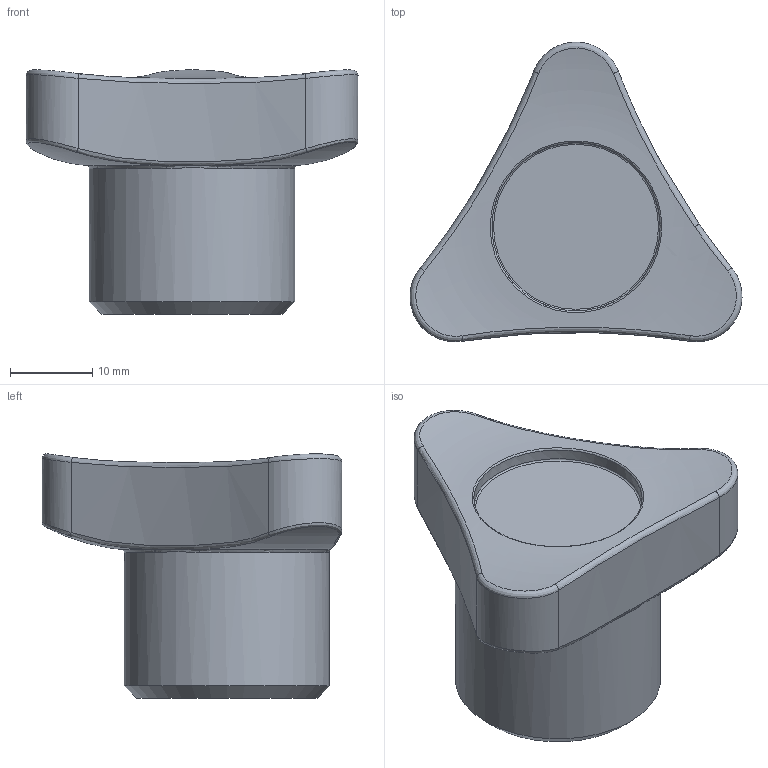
import cadquery as cq
import math


LOBE_COUNT = 3
FIRST_LOBE_ANGLE = 90.0
LOBE_DISTANCE = 17.0
LOBE_RADIUS = 5.5
FLANK_RADIUS = 90.0

TOP_LOW_HEIGHT = 28.7
TOP_LOW_RADIUS = 11.0
TOP_ARC_RADIUS = 56.0
TOP_EDGE_FILLET = 0.6

UNDERSIDE_HEIGHT = 18.0
UNDERSIDE_FLAT_RADIUS = 10.5
UNDERSIDE_ARC_RADIUS = 25.0
UNDERSIDE_EDGE_FILLET = 0.5

RECESS_RADIUS = 20.5 / 2
RECESS_FLOOR_HEIGHT = 27.0
RECESS_FILLET = 0.2

HUB_RADIUS = 25.0 / 2
FOOT_CHAMFER = 1.5
HUB_FILLET = 0.4

HEAD_MIDDLE_HEIGHT = (TOP_LOW_HEIGHT + UNDERSIDE_HEIGHT) / 2
BLANK_RADIUS = LOBE_DISTANCE + LOBE_RADIUS + 1.0
SELECTION_MARGIN = 0.1


def polar(radius, angle):
    """Point at a radius and an angle in degrees."""
    return radius * math.cos(math.radians(angle)), radius * math.sin(math.radians(angle))


def arc_rise(run, arc_radius):
    """Height an arc gains over a horizontal run from its level point."""
    return arc_radius - math.sqrt(arc_radius**2 - run**2)


def outline_prism():
    """Outline of lobes and concave flanks, extruded from the foot to well above the head."""
    pitch = 360.0 / LOBE_COUNT
    half_pitch = math.radians(pitch / 2)
    reach = LOBE_RADIUS + FLANK_RADIUS
    half_span = LOBE_DISTANCE * math.sin(half_pitch)
    flank_distance = LOBE_DISTANCE * math.cos(half_pitch) + math.sqrt(reach**2 - half_span**2)
    lobe_share = LOBE_RADIUS / reach

    def tangent_point(lobe_angle, flank_angle):
        lobe_x, lobe_y = polar(LOBE_DISTANCE, lobe_angle)
        flank_x, flank_y = polar(flank_distance, flank_angle)
        x = lobe_x + lobe_share * (flank_x - lobe_x)
        y = lobe_y + lobe_share * (flank_y - lobe_y)
        return x, y

    start = tangent_point(FIRST_LOBE_ANGLE, FIRST_LOBE_ANGLE - pitch / 2)
    outline = cq.Workplane("XY").moveTo(*start)
    for index in range(LOBE_COUNT):
        lobe = FIRST_LOBE_ANGLE + index * pitch
        flank = lobe + pitch / 2
        lobe_tip = polar(LOBE_DISTANCE + LOBE_RADIUS, lobe)
        flank_middle = polar(flank_distance - FLANK_RADIUS, flank)
        outline = outline.threePointArc(lobe_tip, tangent_point(lobe, flank))
        outline = outline.threePointArc(flank_middle, tangent_point(lobe + pitch, flank))
    return outline.close().extrude(2 * TOP_LOW_HEIGHT)


def turned_blank():
    """Turned disc with the curved underside, the dished top and the recess of the head."""

    def top(radius):
        return radius, TOP_LOW_HEIGHT + arc_rise(radius - TOP_LOW_RADIUS, TOP_ARC_RADIUS)

    def underside(radius):
        rise = arc_rise(radius - UNDERSIDE_FLAT_RADIUS, UNDERSIDE_ARC_RADIUS)
        return radius, UNDERSIDE_HEIGHT + rise

    blank = (
        cq.Workplane("XZ")
        .moveTo(0, UNDERSIDE_HEIGHT)
        .lineTo(*underside(UNDERSIDE_FLAT_RADIUS))
        .threePointArc(underside((UNDERSIDE_FLAT_RADIUS + BLANK_RADIUS) / 2), underside(BLANK_RADIUS))
        .lineTo(*top(BLANK_RADIUS))
        .threePointArc(top((RECESS_RADIUS + BLANK_RADIUS) / 2), top(RECESS_RADIUS))
        .lineTo(RECESS_RADIUS, RECESS_FLOOR_HEIGHT)
        .lineTo(0, RECESS_FLOOR_HEIGHT)
        .close()
        .revolve(360, (0, 0, 0), (0, 1, 0))
    )
    recess_circles = cq.selectors.RadiusNthSelector(0)
    return blank.edges(recess_circles).fillet(RECESS_FILLET)


def outline_edges(head, on_top):
    """Edges around the outline, on the top of the head or on its underside."""
    chosen = []
    for edge in head.edges("not |Z").vals():
        center = edge.Center()
        is_outline = edge.geomType() != "CIRCLE" and math.hypot(center.x, center.y) > HUB_RADIUS
        is_on_top = center.z > HEAD_MIDDLE_HEIGHT
        if is_outline and is_on_top == on_top:
            chosen.append(edge)
    return head.newObject(chosen)


def make_head():
    """Head with rounded edges around the outline."""
    head = outline_prism().intersect(turned_blank())
    head = outline_edges(head, on_top=True).fillet(TOP_EDGE_FILLET)
    return outline_edges(head, on_top=False).fillet(UNDERSIDE_EDGE_FILLET)


def make_hub():
    """Round hub with a chamfered foot, reaching up into the head."""
    hub = cq.Workplane("XY").circle(HUB_RADIUS).extrude(HEAD_MIDDLE_HEIGHT)
    return hub.faces("<Z").chamfer(FOOT_CHAMFER)


def join_hub(head, hub):
    """Head and hub as one body, with a small fillet in the corner between them."""
    side = HUB_RADIUS + SELECTION_MARGIN
    corner_box = cq.selectors.BoxSelector(
        (-side, -side, UNDERSIDE_HEIGHT - SELECTION_MARGIN),
        (side, side, HEAD_MIDDLE_HEIGHT),
        boundingbox=True,
    )
    return head.union(hub).edges(corner_box).fillet(HUB_FILLET)


result = join_hub(make_head(), make_hub())